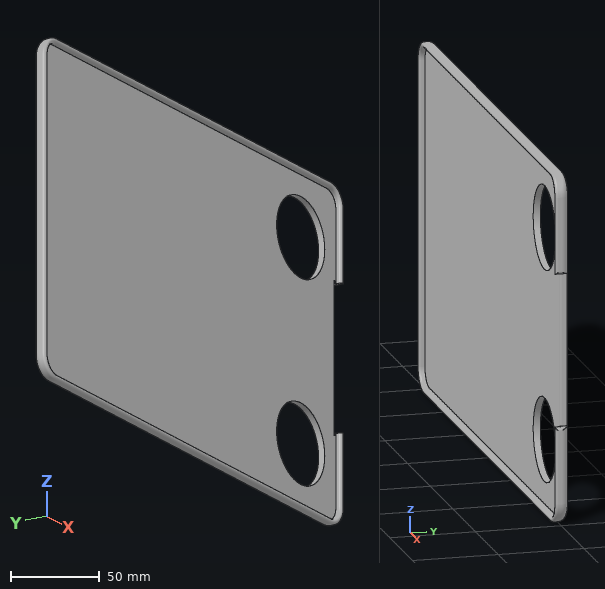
import cadquery as cq

length = 306.0
thickness = 8.0
height = 206.0
corner_radius = 13.2

rim_width = 3.5
crest_flat = 0.05
recess_depth = 3.7
back_radius = 4.3

hole_diameter = 49.0
hole_x = 113.8
hole_spacing = 124.2

gap_height = 90.0
gap_depth = 4.3
gap_end_radius = 1.5
floor_edge_radius = 1.2

front_y = -thickness / 2
back_y = thickness / 2
floor_y = front_y + recess_depth


def rounded_slab(inset, start_y, end_y):
    """Rounded rectangle inset from the outline, extruded along Y."""
    return (
        cq.Workplane("XZ", origin=(0, end_y, 0))
        .rect(length - 2 * inset, height - 2 * inset)
        .extrude(end_y - start_y)
        .edges("|Y")
        .fillet(corner_radius - inset)
    )


def make_tray():
    """Dished plate with a rounded back edge and a rounded rim crest."""
    outer = rounded_slab(0, front_y, back_y)
    outer = outer.faces(">Y").edges().fillet(back_radius)
    tray = outer.cut(rounded_slab(rim_width, front_y, floor_y))

    return tray.faces("<Y").edges().fillet((rim_width - crest_flat) / 2)


def make_holes():
    return (
        cq.Workplane("XZ", origin=(hole_x, back_y, 0))
        .pushPoints([(0, -hole_spacing / 2), (0, hole_spacing / 2)])
        .circle(hole_diameter / 2)
        .extrude(thickness)
    )


def make_gap():
    """Cutter whose flared mouth rounds the two rim ends at the outer edge."""
    half_gap = gap_height / 2
    outer_x = length / 2
    mouth = half_gap + gap_end_radius
    return (
        cq.Workplane("XZ", origin=(0, back_y, 0))
        .moveTo(outer_x - gap_depth, -half_gap)
        .lineTo(outer_x - gap_end_radius, -half_gap)
        .radiusArc((outer_x, -mouth), gap_end_radius)
        .lineTo(outer_x, mouth)
        .radiusArc((outer_x - gap_end_radius, half_gap), gap_end_radius)
        .lineTo(outer_x - gap_depth, half_gap)
        .close()
        .extrude(thickness)
    )


def make_floor_edge_rounding():
    """Cutter that rounds the front edge of the floor along the gap."""
    wall_x = length / 2 - gap_depth
    half_span = gap_height / 2 + gap_end_radius
    return (
        cq.Workplane("XY", origin=(0, 0, -half_span))
        .moveTo(wall_x - floor_edge_radius, floor_y)
        .radiusArc((wall_x, floor_y + floor_edge_radius), -floor_edge_radius)
        .lineTo(wall_x, floor_y)
        .close()
        .extrude(2 * half_span)
    )


result = make_tray().cut(make_holes()).cut(make_gap()).cut(make_floor_edge_rounding())